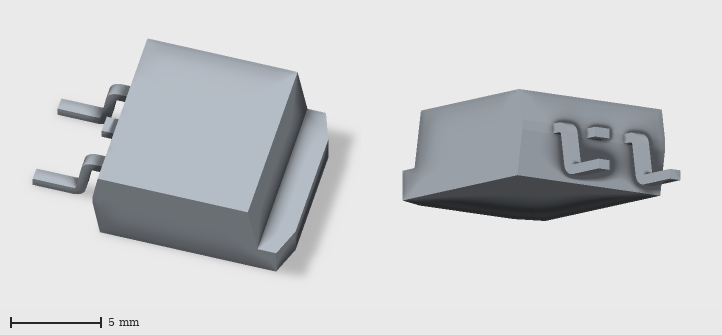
import cadquery as cq
import math


total_length = 15.24
package_width = 10.17
package_height = 4.83

housing_front = 4.05
housing_top_front = 4.35
housing_bottom_front = 4.48
housing_top_back = 12.98
housing_back = 13.55

tab_height = 1.68
tab_corner_length = 0.62
tab_corner_width = 1.75

lead_thickness = 0.55
lead_width = 0.75
lead_spacing = 5.07
lead_exit_top = 3.08
lead_exit_bottom = lead_exit_top - lead_thickness
inner_bend_radius = 0.2
outer_bend_radius = inner_bend_radius + lead_thickness
foot_bend_x = 2.3
shoulder_bend_x = 3.52
stub_length = 0.76
stub_width = 1.02


def make_housing():
    """Moulded block with sloping ends and a flat band where the leads exit."""
    return (
        cq.Workplane("XZ")
        .polyline([
            (housing_bottom_front, 0),
            (housing_back, 0),
            (housing_back, tab_height),
            (housing_top_back, package_height),
            (housing_top_front, package_height),
            (housing_front, lead_exit_top),
            (housing_front, lead_exit_bottom),
        ])
        .close()
        .extrude(package_width / 2, both=True)
    )


def make_tab():
    """Flat metal tab behind the housing, with its two outer corners cut off."""
    half_width = package_width / 2
    half_end = half_width - tab_corner_width
    corner_x = total_length - tab_corner_length
    return (
        cq.Workplane("XY")
        .polyline([
            (housing_back, -half_width),
            (corner_x, -half_width),
            (total_length, -half_end),
            (total_length, half_end),
            (corner_x, half_width),
            (housing_back, half_width),
        ])
        .close()
        .extrude(tab_height)
    )


def make_lead(center_y):
    """Gull-wing lead: foot, leaning web and shoulder joined by concentric bends."""
    foot_center = (foot_bend_x, outer_bend_radius)
    shoulder_center = (shoulder_bend_x, lead_exit_top - outer_bend_radius)

    run = shoulder_center[0] - foot_center[0]
    rise = shoulder_center[1] - foot_center[1]
    center_line_lean = math.atan2(run, rise)
    tangent_turn = math.asin((inner_bend_radius + outer_bend_radius) / math.hypot(run, rise))
    web_lean = center_line_lean - tangent_turn
    web_normal = -web_lean
    mid_bend = (web_normal - math.pi / 2) / 2

    def on_foot_bend(radius, angle):
        return (
            foot_center[0] + radius * math.cos(angle),
            foot_center[1] + radius * math.sin(angle),
        )

    def on_shoulder_bend(radius, angle):
        return (
            shoulder_center[0] - radius * math.cos(angle),
            shoulder_center[1] - radius * math.sin(angle),
        )

    return (
        cq.Workplane("XZ", origin=(0, center_y, 0))
        .moveTo(0, 0)
        .lineTo(foot_bend_x, 0)
        .threePointArc(on_foot_bend(outer_bend_radius, mid_bend), on_foot_bend(outer_bend_radius, web_normal))
        .lineTo(*on_shoulder_bend(inner_bend_radius, web_normal))
        .threePointArc(
            on_shoulder_bend(inner_bend_radius, mid_bend),
            (shoulder_bend_x, lead_exit_bottom),
        )
        .lineTo(housing_front, lead_exit_bottom)
        .lineTo(housing_front, lead_exit_top)
        .lineTo(shoulder_bend_x, lead_exit_top)
        .threePointArc(
            on_shoulder_bend(outer_bend_radius, mid_bend),
            on_shoulder_bend(outer_bend_radius, web_normal),
        )
        .lineTo(*on_foot_bend(inner_bend_radius, web_normal))
        .threePointArc(on_foot_bend(inner_bend_radius, mid_bend), (foot_bend_x, lead_thickness))
        .lineTo(0, lead_thickness)
        .close()
        .extrude(lead_width / 2, both=True)
    )


def make_stub():
    """Short straight remainder of the centre lead."""
    return cq.Workplane("XY").box(
        stub_length, stub_width, lead_thickness, centered=(False, True, False)
    ).translate((housing_front - stub_length, 0, lead_exit_bottom))


housing = make_housing()
tab = make_tab()
stub = make_stub()
leads = [make_lead(side * lead_spacing / 2) for side in (-1, 1)]

result = cq.Compound.makeCompound(
    [housing.val(), tab.val(), stub.val(), *[lead.val() for lead in leads]]
)